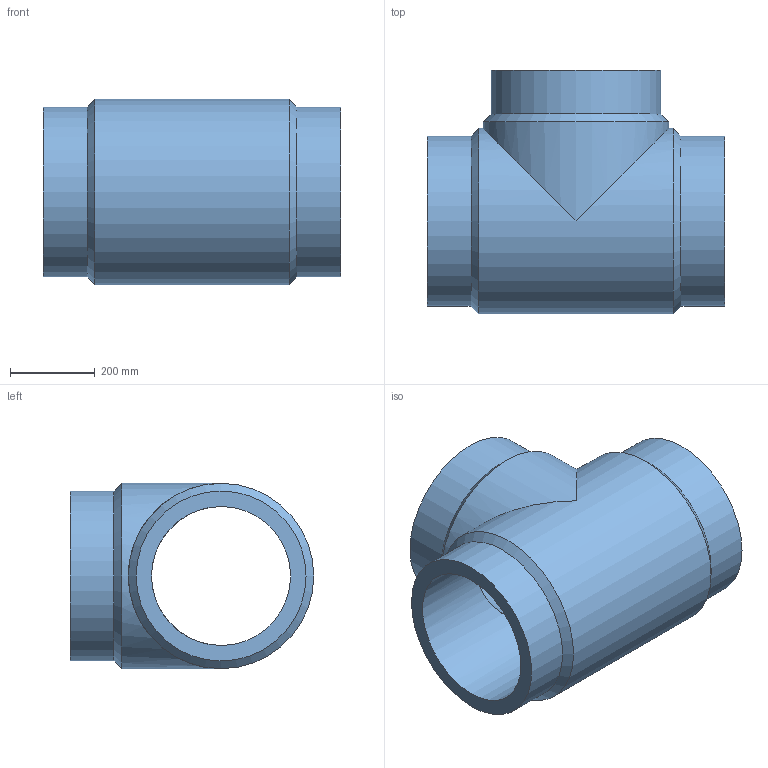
import cadquery as cq

run_length = 700.0
branch_reach = 355.0
spigot_diameter = 400.0
body_diameter = 436.3
bore_diameter = 327.2
spigot_length = 103.0

spigot_radius = spigot_diameter / 2
body_radius = body_diameter / 2
bore_radius = bore_diameter / 2
taper_length = body_radius - spigot_radius
run_end = run_length / 2


def make_run():
    """Solid run, symmetric about the YZ plane, revolved about X."""
    spigot_start = run_end - spigot_length
    taper_start = spigot_start - taper_length
    half_profile = (
        cq.Workplane("XY")
        .moveTo(-run_end, 0)
        .lineTo(-run_end, -spigot_radius)
        .lineTo(-spigot_start, -spigot_radius)
        .lineTo(-taper_start, -body_radius)
        .lineTo(taper_start, -body_radius)
        .lineTo(spigot_start, -spigot_radius)
        .lineTo(run_end, -spigot_radius)
        .lineTo(run_end, 0)
        .close()
    )
    return half_profile.revolve(360, (0, 0, 0), (1, 0, 0))


def make_branch():
    """Solid branch from the run axis to its end face, revolved about Y."""
    spigot_start = branch_reach - spigot_length
    taper_start = spigot_start - taper_length
    half_profile = (
        cq.Workplane("XY")
        .lineTo(-body_radius, 0)
        .lineTo(-body_radius, taper_start)
        .lineTo(-spigot_radius, spigot_start)
        .lineTo(-spigot_radius, branch_reach)
        .lineTo(0, branch_reach)
        .close()
    )
    return half_profile.revolve(360, (0, 0, 0), (0, 1, 0))


def make_bores():
    """Through bore of the run joined to the bore of the branch."""
    run_bore = cq.Workplane("YZ").circle(bore_radius).extrude(run_end, both=True)
    branch_bore = cq.Workplane("XZ").circle(bore_radius).extrude(-branch_reach)
    return run_bore.union(branch_bore)


result = make_run().union(make_branch()).cut(make_bores())